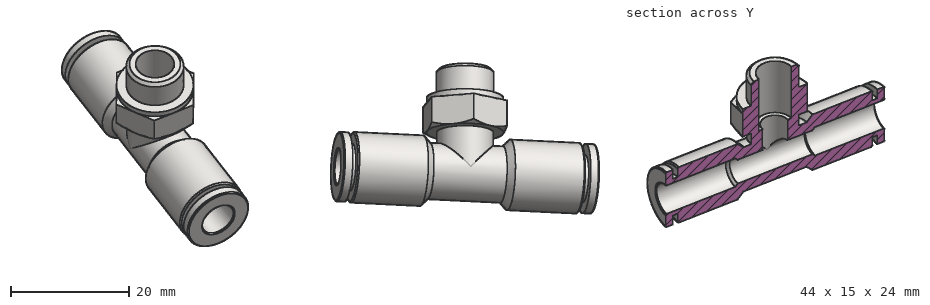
import cadquery as cq
import math


run_half_length = 22.0
socket_diameter = 12.0
neck_diameter = 9.6
socket_inner_end = 7.5
socket_outer_end = 19.6
socket_edge_chamfer = 0.25

collet_flange_diameter = 11.8
collet_stem_diameter = 8.0
collet_flange_thickness = 1.5
collet_edge_chamfer = 0.2

tube_bore_diameter = 6.0
tube_bore_depth = 14.0
mouth_chamfer = 0.2
flow_bore_diameter = 5.0

hex_across_flats = 13.0
hex_bottom = 7.0
hex_height = 5.0
hex_chamfer_angle = 30.0
seat_diameter = 13.0
seat_height = 1.0
thread_diameter = 9.73
thread_length = 5.0
thread_chamfer = 0.565
branch_bore_diameter = 6.49

socket_radius = socket_diameter / 2
neck_radius = neck_diameter / 2
collet_flange_radius = collet_flange_diameter / 2
collet_stem_radius = collet_stem_diameter / 2
tube_bore_radius = tube_bore_diameter / 2
flow_bore_radius = flow_bore_diameter / 2
collet_flange_inner = run_half_length - collet_flange_thickness
neck_end = socket_inner_end - (socket_radius - neck_radius)
tube_bore_end = run_half_length - tube_bore_depth
bore_cone_end = tube_bore_end - (tube_bore_radius - flow_bore_radius)
hex_top = hex_bottom + hex_height
hex_corner_diameter = hex_across_flats / math.cos(math.pi / 6)
seat_top = hex_top + seat_height
branch_top = seat_top + thread_length


def cylinder_z(diameter, bottom, top):
    return cq.Workplane("XY").workplane(offset=bottom).circle(diameter / 2).extrude(top - bottom)


def symmetric_turning(half_outline):
    """Turn a body about X from its (x, radius) outline on the +X side, mirrored to -X."""
    mirrored_outline = [(-x, radius) for x, radius in reversed(half_outline)]
    return (
        cq.Workplane("XY")
        .polyline(half_outline + mirrored_outline)
        .close()
        .revolve(360, (0, 0, 0), (1, 0, 0))
    )


def run_body():
    """Neck, 45 degree shoulder, socket, collet stem and collet flange."""
    return symmetric_turning([
        (neck_end, neck_radius),
        (socket_inner_end, socket_radius),
        (socket_outer_end - socket_edge_chamfer, socket_radius),
        (socket_outer_end, socket_radius - socket_edge_chamfer),
        (socket_outer_end, collet_stem_radius),
        (collet_flange_inner, collet_stem_radius),
        (collet_flange_inner, collet_flange_radius),
        (run_half_length - collet_edge_chamfer, collet_flange_radius),
        (run_half_length, collet_flange_radius - collet_edge_chamfer),
        (run_half_length, 0),
    ])


def run_bore():
    """Flow bore widening through a 45 degree cone to the tube bore and its chamfered mouth."""
    return symmetric_turning([
        (bore_cone_end, flow_bore_radius),
        (tube_bore_end, tube_bore_radius),
        (run_half_length - mouth_chamfer, tube_bore_radius),
        (run_half_length, tube_bore_radius + mouth_chamfer),
        (run_half_length, 0),
    ])


def hexagon():
    """Hexagon with corners on +-Y, its lower corners turned off by a cone."""
    prism = (
        cq.Workplane("XY")
        .workplane(offset=hex_bottom)
        .polygon(6, hex_corner_diameter)
        .extrude(hex_height)
        .rotate((0, 0, 0), (0, 0, 1), 30)
    )
    rise = (hex_corner_diameter - hex_across_flats) / 2 * math.tan(math.radians(hex_chamfer_angle))
    envelope = (
        cq.Workplane("XZ")
        .moveTo(0, hex_bottom)
        .lineTo(hex_across_flats / 2, hex_bottom)
        .lineTo(hex_corner_diameter / 2, hex_bottom + rise)
        .lineTo(hex_corner_diameter / 2, hex_top)
        .lineTo(0, hex_top)
        .close()
        .revolve(360, (0, 0, 0), (0, 1, 0))
    )
    return prism.intersect(envelope)


def branch_body():
    """Stem, hexagon, sealing seat and thread, the thread shown plain."""
    stem = cylinder_z(neck_diameter, 0, hex_bottom)
    seat = cylinder_z(seat_diameter, hex_top, seat_top)
    thread = cylinder_z(thread_diameter, seat_top, branch_top).faces(">Z").chamfer(thread_chamfer)
    return stem.union(hexagon()).union(seat).union(thread)


def branch_bore():
    """Flow bore from the run, opening to a wider bore from the hexagon up."""
    flow_bore = cylinder_z(flow_bore_diameter, 0, hex_bottom)
    wide_bore = cylinder_z(branch_bore_diameter, hex_bottom, branch_top)
    return flow_bore.union(wide_bore)


result = run_body().union(branch_body()).cut(run_bore()).cut(branch_bore())